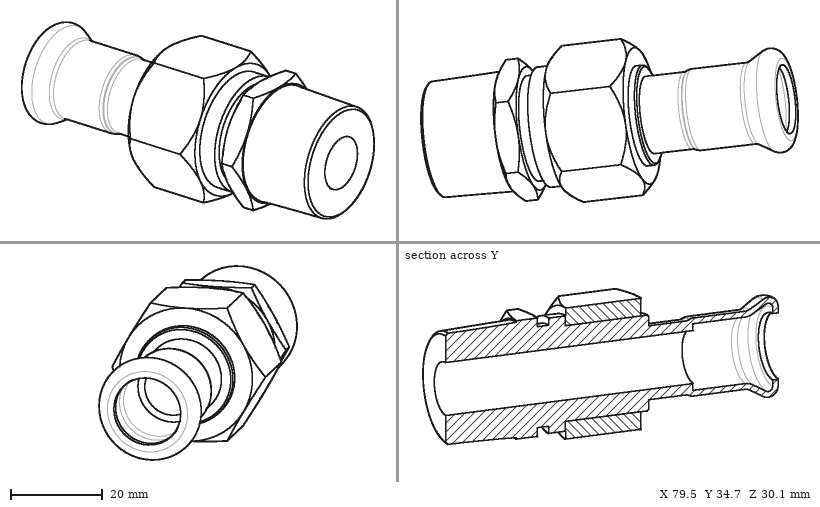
import cadquery as cq
import math


overall_length = 79.5
bore_radius = 12.0 / 2

tube_radius = 18.0 / 2
socket_radius = 15.1 / 2
wall = tube_radius - socket_radius
bead_radius = 23.0 / 2
mouth_radius = 18.1 / 2
bead_arc = bead_radius - mouth_radius
bead_slope = math.radians(30)
bead_fillet = 1.9

shoulder_x = 20.35
neck_radius = 17.0 / 2
shoulder_blend = 1.9
shoulder_slope = math.radians(26)
shoulder_arc_length = shoulder_blend * math.sin(shoulder_slope)
shoulder_arc_drop = shoulder_blend * (1 - math.cos(shoulder_slope))
shoulder_cone_drop = tube_radius - neck_radius - 2 * shoulder_arc_drop
shoulder_cone_length = shoulder_cone_drop / math.tan(shoulder_slope)

collar_x = 30.9
collar_radius = 22.0 / 2
collar_chamfer = 0.4
nut_x = 32.75
nut_length = 18.1
ring_x = nut_x + nut_length
ring_radius = 26.5 / 2
groove_x = 54.9
groove_radius = 23.2 / 2

core_hex_x = 57.5
core_hex_length = 5.2
core_hex_corners = 31.3
core_hex_chamfer_angle = math.radians(30)

taper_x = core_hex_x + core_hex_length
taper_start_radius = 26.5 / 2
taper_end_radius = 25.5 / 2
end_chamfer_length = 0.55
end_face_radius = 24.3 / 2

nut_corners = 34.7
nut_chamfer_angle = math.radians(45)


def revolve_about_x(profile):
    """Turn a closed XY profile (x along the axis, y as radius) about X."""
    return profile.close().revolve(360, (0, 0, 0), (1, 0, 0))


def chamfered_hexagon(start_x, length, corners, chamfer_angle):
    """Hexagonal prism along X, corners at +-Y, both ends turned to a cone."""
    corner_radius = corners / 2
    flat_radius = corner_radius * math.cos(math.radians(30))
    chamfer = (corner_radius - flat_radius) * math.tan(chamfer_angle)
    end_x = start_x + length
    prism = (
        cq.Workplane("YZ", origin=(start_x, 0, 0))
        .polygon(6, corners)
        .extrude(length)
    )
    envelope = revolve_about_x(
        cq.Workplane("XY")
        .moveTo(start_x, 0)
        .lineTo(start_x, flat_radius)
        .lineTo(start_x + chamfer, corner_radius)
        .lineTo(end_x - chamfer, corner_radius)
        .lineTo(end_x, flat_radius)
        .lineTo(end_x, 0)
    )
    return prism.intersect(envelope)


def bead_points(arc_radius, fillet_radius, end_radius):
    """Points of one bead surface: cone start, fillet start, middle and end.

    The arc is centred at (bead_arc, mouth_radius). The fillet is tangent to
    the cone and to a cylinder of end_radius.
    """
    cone_x = bead_arc + arc_radius * math.sin(bead_slope)
    cone_radius = mouth_radius + arc_radius * math.cos(bead_slope)
    fillet_drop = fillet_radius * (1 - math.cos(bead_slope))
    fillet_start_radius = end_radius + fillet_drop
    fillet_x = cone_x + (cone_radius - fillet_start_radius) / math.tan(bead_slope)
    fillet_end_x = fillet_x + fillet_radius * math.sin(bead_slope)
    half_slope = bead_slope / 2
    fillet_middle = (
        fillet_end_x - fillet_radius * math.sin(half_slope),
        end_radius + fillet_radius * (1 - math.cos(half_slope)),
    )
    return (
        (cone_x, cone_radius),
        (fillet_x, fillet_start_radius),
        fillet_middle,
        (fillet_end_x, end_radius),
    )


def make_outside():
    """Turned outside of the core, without its hexagon."""
    cone_start, fillet_start, fillet_middle, fillet_end = bead_points(
        bead_arc, bead_fillet, tube_radius
    )
    shoulder_cone_x = shoulder_x + shoulder_arc_length
    shoulder_cone_end_x = shoulder_cone_x + shoulder_cone_length
    neck_x = shoulder_cone_end_x + shoulder_arc_length
    return revolve_about_x(
        cq.Workplane("XY")
        .lineTo(0, mouth_radius)
        .threePointArc((bead_arc, bead_radius), cone_start)
        .lineTo(*fillet_start)
        .threePointArc(fillet_middle, fillet_end)
        .lineTo(shoulder_x, tube_radius)
        .tangentArcPoint((shoulder_cone_x, tube_radius - shoulder_arc_drop), relative=False)
        .lineTo(shoulder_cone_end_x, neck_radius + shoulder_arc_drop)
        .tangentArcPoint((neck_x, neck_radius), relative=False)
        .lineTo(collar_x, neck_radius)
        .lineTo(collar_x, collar_radius - collar_chamfer)
        .lineTo(collar_x + collar_chamfer, collar_radius)
        .lineTo(ring_x, collar_radius)
        .lineTo(ring_x, ring_radius)
        .lineTo(groove_x, ring_radius)
        .lineTo(groove_x, groove_radius)
        .lineTo(taper_x, groove_radius)
        .lineTo(taper_x, taper_start_radius)
        .lineTo(overall_length - end_chamfer_length, taper_end_radius)
        .lineTo(overall_length, end_face_radius)
        .lineTo(overall_length, 0)
    )


def make_cavity():
    """Socket with its seal groove inside the bead, then the through bore."""
    groove_arc = bead_arc - wall
    cone_start, fillet_start, fillet_middle, fillet_end = bead_points(
        groove_arc, bead_fillet + wall, socket_radius
    )
    return revolve_about_x(
        cq.Workplane("XY")
        .lineTo(0, socket_radius)
        .lineTo(wall, socket_radius)
        .lineTo(wall, mouth_radius)
        .threePointArc((bead_arc, mouth_radius + groove_arc), cone_start)
        .lineTo(*fillet_start)
        .threePointArc(fillet_middle, fillet_end)
        .lineTo(shoulder_x, socket_radius)
        .lineTo(shoulder_x, bore_radius)
        .lineTo(overall_length, bore_radius)
        .lineTo(overall_length, 0)
    )


def make_core():
    core_hexagon = chamfered_hexagon(
        core_hex_x, core_hex_length, core_hex_corners, core_hex_chamfer_angle
    )
    return make_outside().union(core_hexagon).cut(make_cavity())


def make_nut():
    """Union nut, bored to fit the collar of the core."""
    blank = chamfered_hexagon(nut_x, nut_length, nut_corners, nut_chamfer_angle)
    bore = (
        cq.Workplane("YZ", origin=(nut_x, 0, 0))
        .circle(collar_radius)
        .extrude(nut_length)
    )
    return blank.cut(bore)


core = make_core()
nut = make_nut()

result = cq.Compound.makeCompound([core.val(), nut.val()])